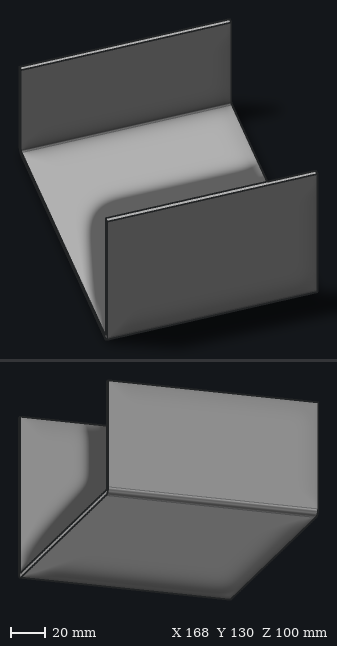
import cadquery as cq

width = 168.0
depth = 130.0
tall_wall_height = 100.0
short_wall_height = 70.0

thickness = 3.0
inner_bend_radius = 0.97
outer_bend_radius = inner_bend_radius + thickness

block = cq.Workplane("XY").box(width, depth, tall_wall_height, centered=(True, True, False))
outer_body = block.edges("|Y and <Z").fillet(outer_bend_radius)

channel = (
    cq.Workplane("XY")
    .workplane(offset=thickness)
    .box(width - 2 * thickness, depth, tall_wall_height, centered=(True, True, False))
    .edges("|Y and <Z")
    .fillet(inner_bend_radius)
)

short_wall_clearance = (
    cq.Workplane("XY")
    .workplane(offset=short_wall_height)
    .box(width / 2, depth, tall_wall_height, centered=(False, True, False))
    .translate((-width / 2, 0, 0))
)

result = outer_body.cut(channel).cut(short_wall_clearance)